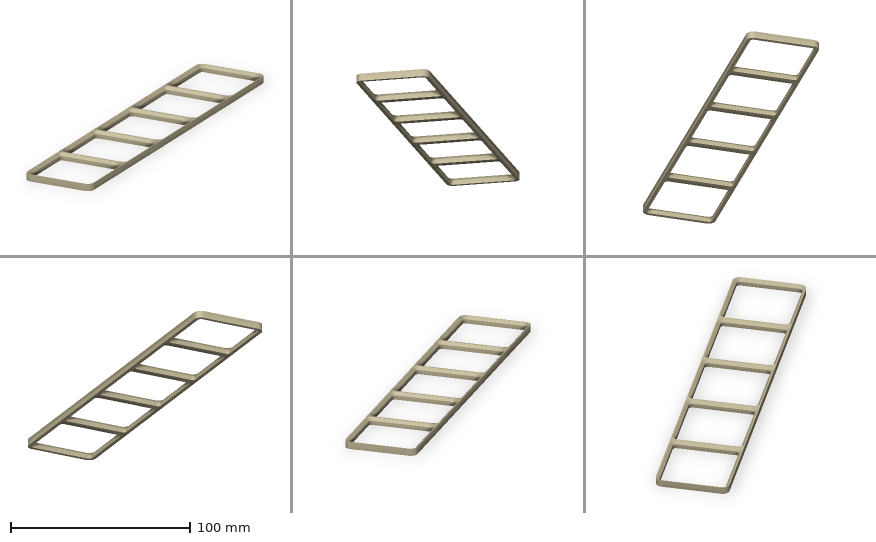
import cadquery as cq

CELL_PITCH = 42.0
CELL_COUNT = 5
HEIGHT = 4.15
CORNER_RADIUS = 4.0
RIM_HALF_WIDTH = 0.5
BEVEL = 1.65

FRAME_LENGTH = CELL_COUNT * CELL_PITCH
STRAIGHT_HEIGHT = HEIGHT - BEVEL
MOUTH_SIZE = CELL_PITCH - 2 * RIM_HALF_WIDTH
MOUTH_RADIUS = CORNER_RADIUS - RIM_HALF_WIDTH
THROAT_SIZE = MOUTH_SIZE - 2 * BEVEL
THROAT_RADIUS = MOUTH_RADIUS - BEVEL


def rounded_block(size_x, size_y, height, radius):
    """Block standing on Z = 0 with rounded vertical edges."""
    block = cq.Workplane("XY").box(size_x, size_y, height, centered=(True, True, False))
    return block.edges("|Z").fillet(radius)


def cell_opening():
    """Through opening of one cell: a straight throat that flares out to the top rim."""
    throat = rounded_block(THROAT_SIZE, THROAT_SIZE, HEIGHT, THROAT_RADIUS)
    flare = rounded_block(MOUTH_SIZE, MOUTH_SIZE, 2 * BEVEL, MOUTH_RADIUS)
    flare = flare.faces("<Z").chamfer(BEVEL)
    return throat.union(flare.translate((0, 0, STRAIGHT_HEIGHT)))


def build_frame():
    """Row of equal cells inside one rounded outline."""
    frame = rounded_block(CELL_PITCH, FRAME_LENGTH, HEIGHT, CORNER_RADIUS)
    opening = cell_opening()
    first_cell_y = (CELL_PITCH - FRAME_LENGTH) / 2
    for index in range(CELL_COUNT):
        frame = frame.cut(opening.translate((0, first_cell_y + index * CELL_PITCH, 0)))
    return frame


result = build_frame()